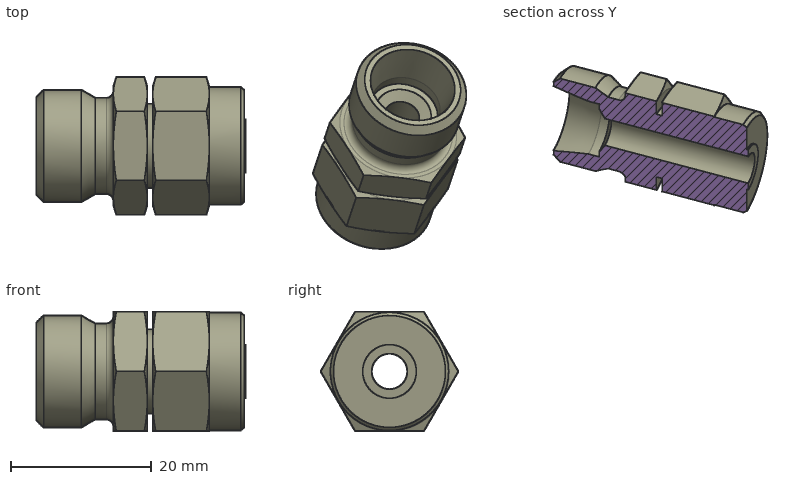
import cadquery as cq
import math

length = 29.8
collar_end = 29.6
nut_start, nut_end = 16.57, 24.6
hex_start, hex_end = 10.97, 15.8
neck_start = 8.4
male_end = 6.45

male_radius = 8.0
neck_radius = 6.85
gap_radius = 6.02
collar_radius = 8.4
boss_radius = 3.8

male_chamfer = 1.05
neck_fillet = 1.0
collar_chamfer_length = 0.55
collar_chamfer_depth = 0.45

across_flats = 17
hex_chamfer_radius = 8.45
hex_chamfer_length = 0.42

mouth_radius = 6.1
socket_radius = 4.98
socket_half_angle = 12
seat_position = 7.0
lead_in_radius = 4.02
lead_in_half_angle = 60
through_radius = 2.5


def revolve_about_x(profile):
    return profile.close().revolve(360, (0, 0, 0), (1, 0, 0))


def make_turned_body():
    fillet_bend = neck_fillet * math.sqrt(0.5)
    fillet_center_x = hex_start - neck_fillet
    fillet_center_y = neck_radius + neck_fillet
    profile = (
        cq.Workplane("XY")
        .moveTo(0, 0)
        .lineTo(0, male_radius - male_chamfer)
        .lineTo(male_chamfer, male_radius)
        .lineTo(male_end, male_radius)
        .lineTo(neck_start, neck_radius)
        .lineTo(fillet_center_x, neck_radius)
        .threePointArc(
            (fillet_center_x + fillet_bend, fillet_center_y - fillet_bend),
            (hex_start, fillet_center_y),
        )
        .lineTo(hex_end, fillet_center_y)
        .lineTo(hex_end, gap_radius)
        .lineTo(nut_start, gap_radius)
        .lineTo(nut_start, collar_radius)
        .lineTo(collar_end - collar_chamfer_length, collar_radius)
        .lineTo(collar_end, collar_radius - collar_chamfer_depth)
        .lineTo(collar_end, boss_radius)
        .lineTo(length, boss_radius)
        .lineTo(length, 0)
    )
    return revolve_about_x(profile)


def make_chamfered_hex(start, end):
    corner_radius = across_flats / math.sqrt(3)
    prism = (
        cq.Workplane("YZ")
        .workplane(offset=start)
        .polygon(6, 2 * corner_radius)
        .extrude(end - start)
    )
    chamfer_envelope = (
        cq.Workplane("XY")
        .moveTo(start, 0)
        .lineTo(start, hex_chamfer_radius)
        .lineTo(start + hex_chamfer_length, corner_radius)
        .lineTo(end - hex_chamfer_length, corner_radius)
        .lineTo(end, hex_chamfer_radius)
        .lineTo(end, 0)
    )
    return prism.intersect(revolve_about_x(chamfer_envelope))


def make_bore():
    taper_length = (mouth_radius - socket_radius) / math.tan(math.radians(socket_half_angle))
    lead_in_length = (lead_in_radius - through_radius) / math.tan(math.radians(lead_in_half_angle))
    profile = (
        cq.Workplane("XY")
        .moveTo(0, 0)
        .lineTo(0, mouth_radius)
        .lineTo(taper_length, socket_radius)
        .lineTo(seat_position, socket_radius)
        .lineTo(seat_position, lead_in_radius)
        .lineTo(seat_position + lead_in_length, through_radius)
        .lineTo(length, through_radius)
        .lineTo(length, 0)
    )
    return revolve_about_x(profile)


result = (
    make_turned_body()
    .union(make_chamfered_hex(hex_start, hex_end))
    .union(make_chamfered_hex(nut_start, nut_end))
    .cut(make_bore())
)